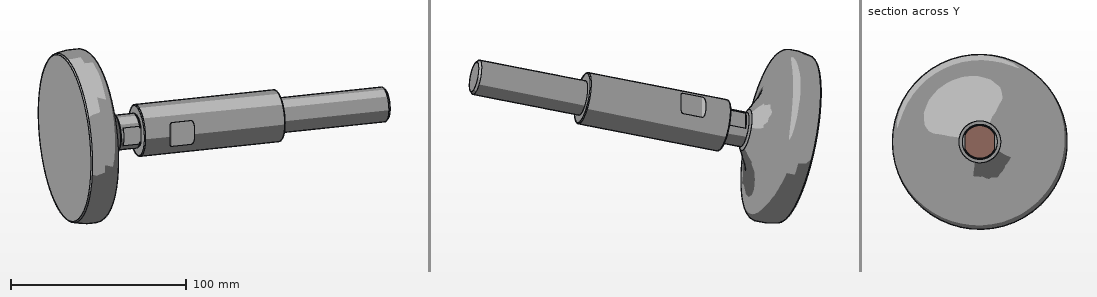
import cadquery as cq
import math

total_length = 193.0
foot_height = 29.7
flange_start = 30.9
flange_thickness = 1.5
collar_start = 43.2
collar_end = 128.0

foot_radius = 100.0 / 2
foot_top_radius = 12.0
sole_radius = 47.9
sole_edge_radius = 48.6
sole_edge_height = 0.8
rim_bottom = 8.0
rim_top = 13.0
rim_round = 4.2
lower_rim_bulge = (49.5, 4.2)
cone_end = (20.0, 24.7)

rod_radius = 20.0 / 2
rod_chamfer = 1.4
neck_radius = 10.0 / 2
neck_overlap = 2.0
spindle_flat_width = 17.0
relief_radius = 9.5
relief_length = 0.8

collar_radius = 30.0 / 2
collar_chamfer = 0.5
wrench_flat_width = 26.2
wrench_slot_start = 58.5
wrench_slot_end = 73.3
wrench_slot_round = 1.7


def cylinder(radius, start, end):
    """Solid cylinder on the Y axis from start to end."""
    return cq.Workplane("XZ", origin=(0, start, 0)).circle(radius).extrude(start - end)


def flat_cutters(across_flats, start, end):
    """Pair of blocks that leave a given width across flats in X."""
    depth = foot_radius
    length = end - start
    offset = (across_flats + depth) / 2
    blocks = cq.Workplane("XY", origin=(0, (start + end) / 2, 0))
    return blocks.pushPoints([(-offset, 0), (offset, 0)]).box(depth, length, 2 * foot_radius)


def make_foot():
    """Revolved foot with a flared top and a rounded rim."""
    rim_centre_radius = foot_radius - rim_round
    diagonal = rim_round * math.sqrt(0.5)
    profile = (
        cq.Workplane("XY")
        .moveTo(0, foot_height)
        .lineTo(foot_top_radius, foot_height)
        .lineTo(*cone_end)
        .tangentArcPoint((rim_centre_radius, rim_top + rim_round), relative=False)
        .threePointArc((rim_centre_radius + diagonal, rim_top + diagonal), (foot_radius, rim_top))
        .lineTo(foot_radius, rim_bottom)
        .threePointArc(lower_rim_bulge, (sole_edge_radius, sole_edge_height))
        .lineTo(sole_radius, 0)
        .lineTo(0, 0)
        .close()
    )
    return profile.revolve(360, (0, 0, 0), (0, 1, 0))


def make_spindle():
    """Rod with a flatted lower end, a thin flange and a neck into the foot."""
    flange_end = flange_start + flange_thickness
    relief_start = collar_start - relief_length
    neck = cylinder(neck_radius, foot_height - neck_overlap, flange_start)
    lower_end = cylinder(rod_radius, flange_start, relief_start)
    relief = cylinder(relief_radius, relief_start, collar_start)
    flats = flat_cutters(spindle_flat_width, flange_end, collar_start)
    flatted_end = lower_end.union(relief).cut(flats)
    rod = cylinder(rod_radius, collar_start, total_length).faces(">Y").chamfer(rod_chamfer)
    return neck.union(flatted_end).union(rod)


def make_collar():
    """Chamfered collar with two wrench flats whose ends are rounded at the floor."""
    collar = cylinder(collar_radius, collar_start, collar_end).faces("<Y or >Y").chamfer(collar_chamfer)
    cutters = flat_cutters(wrench_flat_width, wrench_slot_start, wrench_slot_end)
    floor_half_width = wrench_flat_width / 2
    floor_ends = cq.selectors.BoxSelector(
        (-floor_half_width - wrench_slot_round, 0, -foot_radius),
        (floor_half_width + wrench_slot_round, total_length, foot_radius),
    )
    return collar.cut(cutters.edges("|Z").edges(floor_ends).fillet(wrench_slot_round))


result = make_foot().union(make_spindle()).union(make_collar())